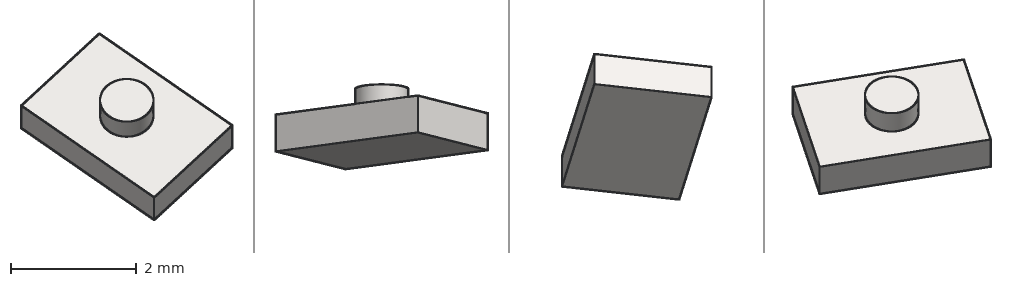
import cadquery as cq

base_length = 2.8
base_width = 1.9
base_height = 0.6
total_height = 1.0
button_diameter = 0.85

button_height = total_height - base_height

base = cq.Workplane("XY").box(base_length, base_width, base_height, centered=(True, True, False))

result = base.faces(">Z").workplane().circle(button_diameter / 2).extrude(button_height)